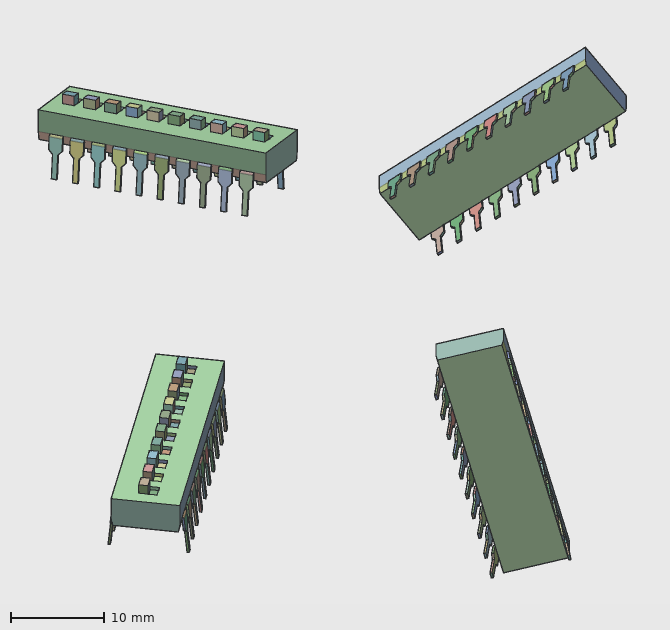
import cadquery as cq
import math

body_length = 27.33
body_width = 7.5
body_height = 3.5
taper_height = 0.98
taper_inset = 0.16

switch_count = 10
pitch = 2.55

window_length = 1.42
window_width = 2.0
window_depth = 0.4
slider_width = window_width / 2
slider_rise = 1.1

overall_width = 8.85
terminal_drop = 3.9
terminal_thickness = 0.25
terminal_lean = math.radians(5.7)
bend_radius = 0.3
terminal_root = 0.5
blade_width = 1.6
pin_width = 0.63
shoulder_top = 0.68
shoulder_bottom = 1.18

bend_top = taper_height
tip_z = -terminal_drop
half_width = body_width / 2
station_points = [((i - (switch_count - 1) / 2) * pitch, 0) for i in range(switch_count)]


def make_body():
    base_half_width = half_width - taper_inset
    return (
        cq.Workplane("YZ")
        .moveTo(-base_half_width, 0)
        .lineTo(base_half_width, 0)
        .lineTo(half_width, taper_height)
        .lineTo(half_width, body_height)
        .lineTo(-half_width, body_height)
        .lineTo(-half_width, taper_height)
        .close()
        .extrude(body_length / 2, both=True)
    )


def make_windows():
    return (
        cq.Workplane("XY", origin=(0, 0, body_height))
        .pushPoints(station_points)
        .rect(window_length, window_width)
        .extrude(-window_depth)
    )


def make_sliders():
    return (
        cq.Workplane("XY", origin=(0, -slider_width / 2, body_height - window_depth))
        .pushPoints(station_points)
        .rect(window_length, slider_width)
        .extrude(window_depth + slider_rise)
    )


def make_bent_strip():
    """Side profile of the +Y terminals: a level root, a round bend and a leaning leg."""
    slope = math.tan(terminal_lean)
    leg_thickness = terminal_thickness / math.cos(terminal_lean)
    tip_outer = overall_width / 2
    tip_inner = tip_outer - leg_thickness
    inner_bend_z = bend_top - terminal_thickness
    inner_bend_y = tip_inner - (inner_bend_z - tip_z) * slope
    outer_bend_y = tip_outer - (bend_top - tip_z) * slope
    root_y = half_width - terminal_root
    return (
        cq.Workplane("YZ")
        .moveTo(root_y, inner_bend_z)
        .lineTo(inner_bend_y, inner_bend_z)
        .lineTo(tip_inner, tip_z)
        .lineTo(tip_outer, tip_z)
        .lineTo(outer_bend_y, bend_top)
        .lineTo(root_y, bend_top)
        .close()
        .extrude(body_length / 2, both=True)
        .edges("|X")
        .edges(">Z")
        .edges(">Y")
        .fillet(bend_radius)
    )


def make_terminal_outlines():
    """Front outlines of all terminals: a wide blade narrowing to a pin."""
    half_blade = blade_width / 2
    half_pin = pin_width / 2
    outlines = cq.Workplane("XZ")
    for x, _ in station_points:
        outlines = (
            outlines.moveTo(x - half_blade, bend_top)
            .lineTo(x - half_blade, -shoulder_top)
            .lineTo(x - half_pin, -shoulder_bottom)
            .lineTo(x - half_pin, tip_z)
            .lineTo(x + half_pin, tip_z)
            .lineTo(x + half_pin, -shoulder_bottom)
            .lineTo(x + half_blade, -shoulder_top)
            .lineTo(x + half_blade, bend_top)
            .close()
        )
    return outlines.extrude(overall_width, both=True)


back_terminals = make_bent_strip().intersect(make_terminal_outlines())
front_terminals = back_terminals.mirror("XZ")

result = (
    make_body()
    .cut(make_windows())
    .union(make_sliders())
    .union(back_terminals)
    .union(front_terminals)
)